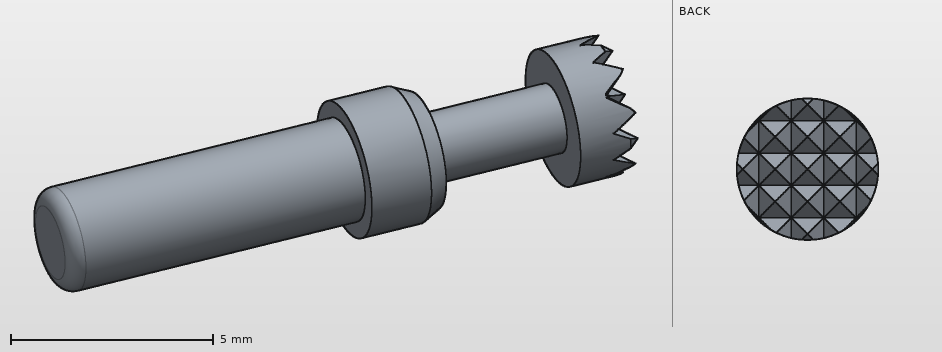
import cadquery as cq
import math

total_length = 15.1
head_length = 1.6
neck_length = 3.5
collar_length = 2.1
collar_taper_length = 0.5

head_radius = 1.75
collar_radius = head_radius
collar_taper_radius = 1.51
neck_radius = 0.89
shank_radius = 1.33
shank_tip_fillet = 0.4

tooth_pitch = 0.8
groove_angle = 60.0
groove_depth = tooth_pitch / 2 / math.tan(math.radians(groove_angle / 2))
grooves_per_side = math.ceil(head_radius / tooth_pitch)

head_base = total_length - head_length
collar_front = head_base - neck_length
collar_back = collar_front - collar_length


def turned_body():
    """Revolve the half profile of shank, collar, neck and head about Y."""
    profile = (
        cq.Workplane("XY")
        .lineTo(shank_radius - shank_tip_fillet, 0)
        .radiusArc((shank_radius, shank_tip_fillet), -shank_tip_fillet)
        .lineTo(shank_radius, collar_back)
        .lineTo(collar_radius, collar_back)
        .lineTo(collar_radius, collar_front - collar_taper_length)
        .lineTo(collar_taper_radius, collar_front)
        .lineTo(neck_radius, collar_front)
        .lineTo(neck_radius, head_base)
        .lineTo(head_radius, head_base)
        .lineTo(head_radius, total_length)
        .lineTo(0, total_length)
        .close()
    )
    return profile.revolve(360, (0, 0, 0), (0, 1, 0))


def groove_cutter():
    """Saw-toothed bar that cuts all parallel V-grooves running along Z."""
    half_width = grooves_per_side * tooth_pitch
    points = [(-half_width, total_length)]
    for index in range(-grooves_per_side, grooves_per_side):
        peak = index * tooth_pitch
        points.append((peak + tooth_pitch / 2, total_length - groove_depth))
        points.append((peak + tooth_pitch, total_length))
    points.append((half_width, total_length + groove_depth))
    points.append((-half_width, total_length + groove_depth))
    return cq.Workplane("XY").polyline(points).close().extrude(2 * head_radius, both=True)


grooves_along_z = groove_cutter()
grooves_along_x = grooves_along_z.rotate((0, 0, 0), (0, 1, 0), 90)

result = turned_body().cut(grooves_along_z).cut(grooves_along_x)